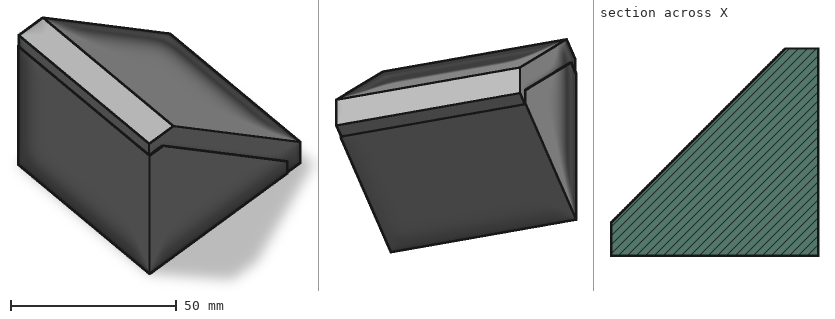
import cadquery as cq

body_width = 58.0
side_length = 62.5

side_inset = 0.25
leg_inset = 0.01
wedge_flat = 10.0
wedge_width = body_width - 2 * side_inset

rim = 5.5
body_length = side_length - rim
body_flat = 5.5


def blunted_triangle(start, length, flat, width):
    """Wedge with its right-angled corner at Y = Z = start and both tips cut flat, centred on X."""
    outline = [
        (start, start),
        (length, start),
        (length, flat),
        (flat, length),
        (start, length),
    ]
    return cq.Workplane("YZ").polyline(outline).close().extrude(width / 2, both=True)


wedge = blunted_triangle(leg_inset, side_length, wedge_flat, wedge_width)
body = blunted_triangle(0, body_length, body_flat, body_width)
result = wedge.union(body)